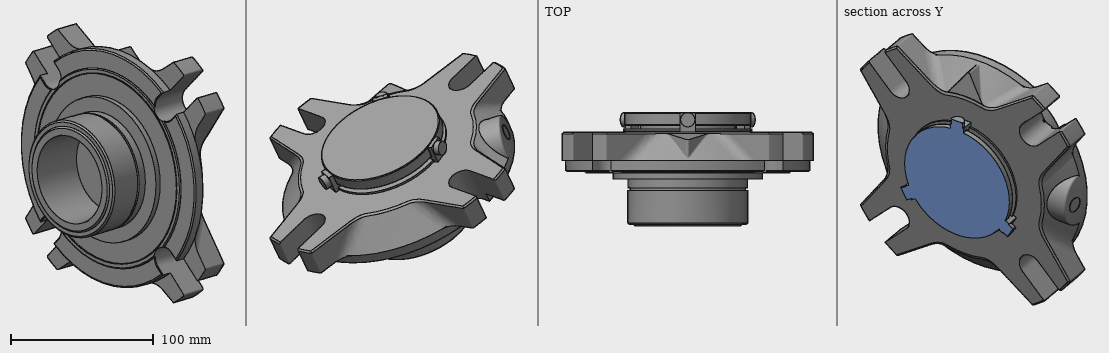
import cadquery as cq
import math

TOTAL_LENGTH = 79.58
TOLERANCE = 0.01

SLEEVE_RADIUS = 84.37 / 2
SLEEVE_REAR_RADIUS = 84.04 / 2
NOSE_RADIUS = 76.1 / 2
NOSE_CHAMFER = 1.2
SLEEVE_CHAMFER = 1.2
GROOVE_RADIUS = 81.02 / 2
GROOVE_START = 25.2
GROOVE_END = 26.9
BORE_RADIUS = 63.5 / 2
BORE_DEPTH = 39.4

HUB_RADIUS = 104.78 / 2
HUB_FRONT = 33.0
FACE_FRONT = 37.3
FACE_RADIUS = 72.0
FACE_CHAMFER = 0.8
GAP_INNER_RADIUS = 136.39 / 2
GAP_OUTER_RADIUS = 137.16 / 2
GAP_DEPTH = 1.0

PILOT_FRONT = 38.3
PILOT_RADIUS = 85.75
PILOT_CHAMFER_RADIAL = 1.1
PILOT_CHAMFER_AXIAL = 0.9
FLANGE_FRONT = 46.0
FLANGE_REAR = 65.9
FLANGE_THICKNESS = FLANGE_REAR - FLANGE_FRONT
CONE_REAR_RADIUS = PILOT_RADIUS - FLANGE_THICKNESS

LUG_ANGLES = (45, 135, 225, 315)
LUG_TIP_RADIUS = 105.0
LUG_TIP_HALF_WIDTH = 22.17
LUG_FLARE = 10.0
LUG_ROOT_RADIUS = 50.0
LUG_CORNER_FILLET = 1.0
LUG_ROOT_FILLET = 8.5
LUG_REAR_CHAMFER = 1.2
SLOT_WIDTH = 18.6
SLOT_FLOOR_RADIUS = 69.2
SLOT_EDGE_CHAMFER = 0.6

BOSS_RADIUS = 20.8
BOSS_AXIAL = 43.0
BOSS_ROOT = 55.0
BOSS_TAPER = 7.5
BOSS_EDGE_FILLET = 1.2
PORT_DIAMETER = 11.0
PORT_AXIAL = 53.35
PORT_DEPTH = 0.5

RIDGE_CREST = 84.2
RIDGE_CREST_RADIUS = 3.31 / 2
RIDGE_HALF_ANGLE = 35.5
RIDGE_FOOT_FILLET = 1.2
RIDGE_BASE = 60.0
RIDGE_CREST_REAR = 60.6
RIDGE_REAR_FOOT_RADIUS = 66.0
RIDGE_REAR_FOOT = 65.1

SPACER_RADIUS = 89.92 / 2
SPACER_FRONT = 66.8
SPACER_REAR = 68.3
NECK_RADIUS = 66.58 / 2
COLLAR_RADIUS = 88.39 / 2
COLLAR_FRONT = 70.7
COLLAR_CHAMFER = 0.6
CLIP_ANGLES = (90, 210, 330)
CLIP_WIDTH = 11.2
CLIP_INNER = 43.9
CLIP_OUTER = 47.4
CLIP_TONGUE_INNER = 42.6
SCREW_HEAD_DIAMETER = 9.99
SCREW_HEAD_TOP = 51.8


def revolved(points):
    """Solid of revolution about Y from (radius, y) points."""
    return cq.Workplane("XY").polyline(points).close().revolve(360, (0, 0, 0), (0, 1, 0))


def disc(radius, start, end):
    """Solid disc on the Y axis between two axial positions."""
    return revolved([(0, start), (radius, start), (radius, end), (0, end)])


def turned(shape, angle):
    """Turn about the Y axis so that +X moves towards +Z for a positive angle."""
    return shape.rotate((0, 0, 0), (0, 1, 0), -angle)


def extruded_along_y(sketch, start, end):
    """Extrude a sketch function drawn in the XZ plane between two axial positions."""
    plane = cq.Plane(origin=(0, end, 0), xDir=(1, 0, 0), normal=(0, -1, 0))
    return sketch(cq.Workplane(plane)).extrude(end - start)


def make_lug():
    """Flared lug pointing along +X, before slotting."""
    flare = math.tan(math.radians(LUG_FLARE))
    tip = math.sqrt(LUG_TIP_RADIUS**2 - LUG_TIP_HALF_WIDTH**2)
    root_half_width = LUG_TIP_HALF_WIDTH + (tip - LUG_ROOT_RADIUS) * flare

    def outline(plane):
        return (
            plane.moveTo(LUG_ROOT_RADIUS, -root_half_width)
            .lineTo(tip, -LUG_TIP_HALF_WIDTH)
            .threePointArc((LUG_TIP_RADIUS, 0), (tip, LUG_TIP_HALF_WIDTH))
            .lineTo(LUG_ROOT_RADIUS, root_half_width)
            .close()
        )

    return extruded_along_y(outline, FLANGE_FRONT, FLANGE_REAR)


def cut_slots(shape):
    """Cut the round-ended, outward-open bolt slots through the whole axial length of the gland."""
    length = 2 * (LUG_TIP_RADIUS - SLOT_FLOOR_RADIUS)

    def outline(plane):
        return plane.center(SLOT_FLOOR_RADIUS + length / 2, 0).slot2D(length, SLOT_WIDTH)

    slot = extruded_along_y(outline, FACE_FRONT, FLANGE_REAR)
    for angle in LUG_ANGLES:
        shape = shape.cut(turned(slot, angle))
    return shape


def make_flange():
    """Cone with filleted, slotted lugs."""
    flange = revolved([
        (0, FLANGE_FRONT),
        (PILOT_RADIUS, FLANGE_FRONT),
        (CONE_REAR_RADIUS, FLANGE_REAR),
        (0, FLANGE_REAR),
    ])
    for angle in LUG_ANGLES:
        flange = flange.union(turned(make_lug(), angle))

    def is_root(edge):
        box = edge.BoundingBox()
        spans = box.ymax - box.ymin > FLANGE_THICKNESS - TOLERANCE
        centre = edge.positionAt(0.5)
        return spans and math.hypot(centre.x, centre.z) < PILOT_RADIUS

    roots = [e for e in flange.edges().vals() if is_root(e)]
    flange = flange.newObject(roots).fillet(LUG_ROOT_FILLET)
    flange = cut_slots(flange.faces(">Y").edges().chamfer(LUG_REAR_CHAMFER))

    def is_tip_corner(edge):
        centre = edge.Center()
        return math.hypot(centre.x, centre.z) > LUG_TIP_RADIUS - LUG_CORNER_FILLET

    corners = [e for e in flange.edges("|Y").vals() if is_tip_corner(e)]
    return flange.newObject(corners).fillet(LUG_CORNER_FILLET)


def make_front():
    """Sleeve, hub disc and pilot rim."""
    front = revolved([
        (0, 0),
        (NOSE_RADIUS - NOSE_CHAMFER, 0),
        (NOSE_RADIUS, NOSE_CHAMFER),
        (SLEEVE_RADIUS - SLEEVE_CHAMFER, NOSE_CHAMFER),
        (SLEEVE_RADIUS, NOSE_CHAMFER + SLEEVE_CHAMFER),
        (SLEEVE_RADIUS, GROOVE_START),
        (GROOVE_RADIUS, GROOVE_START),
        (GROOVE_RADIUS, GROOVE_END),
        (SLEEVE_REAR_RADIUS, GROOVE_END),
        (SLEEVE_REAR_RADIUS, HUB_FRONT),
        (HUB_RADIUS, HUB_FRONT),
        (HUB_RADIUS, FACE_FRONT),
        (GAP_INNER_RADIUS, FACE_FRONT),
        (GAP_INNER_RADIUS, FACE_FRONT + GAP_DEPTH),
        (GAP_OUTER_RADIUS, FACE_FRONT + GAP_DEPTH),
        (GAP_OUTER_RADIUS, FACE_FRONT),
        (FACE_RADIUS - FACE_CHAMFER, FACE_FRONT),
        (FACE_RADIUS, FACE_FRONT + FACE_CHAMFER),
        (FACE_RADIUS, PILOT_FRONT),
        (PILOT_RADIUS - PILOT_CHAMFER_RADIAL, PILOT_FRONT),
        (PILOT_RADIUS, PILOT_FRONT + PILOT_CHAMFER_AXIAL),
        (PILOT_RADIUS, FLANGE_FRONT),
        (0, FLANGE_FRONT),
    ])
    front = cut_slots(front)

    def is_slot_edge(edge):
        end_radii = [math.hypot(v.X, v.Z) for v in edge.Vertices()]
        on_rim_face = all(abs(v.Y - PILOT_FRONT) < TOLERANCE for v in edge.Vertices())
        return on_rim_face and max(end_radii) - min(end_radii) > TOLERANCE

    edges = [e for e in front.edges().vals() if is_slot_edge(e)]
    return front.newObject(edges).chamfer(SLOT_EDGE_CHAMFER)


def boss_face_radius(axial):
    """Distance of the tapered boss face from the axis at an axial position."""
    return PILOT_RADIUS - (axial - FLANGE_FRONT) * math.tan(math.radians(BOSS_TAPER))


def make_boss():
    """Port boss on the -X side with a tapered face and a shallow round recess."""
    plane = cq.Plane(origin=(-BOSS_ROOT, BOSS_AXIAL, 0), xDir=(0, 1, 0), normal=(-1, 0, 0))
    boss = cq.Workplane(plane).circle(BOSS_RADIUS).extrude(PILOT_RADIUS)
    boss = boss.intersect(revolved([
        (0, FLANGE_FRONT),
        (PILOT_RADIUS, FLANGE_FRONT),
        (boss_face_radius(FLANGE_REAR), FLANGE_REAR),
        (0, FLANGE_REAR),
    ]))

    def is_rim(edge):
        middle = edge.positionAt(0.5)
        off_root = middle.x < -BOSS_ROOT - TOLERANCE
        off_front = middle.y > FLANGE_FRONT + TOLERANCE
        return edge.geomType() != "LINE" and off_root and off_front

    boss = boss.newObject([e for e in boss.edges().vals() if is_rim(e)]).fillet(BOSS_EDGE_FILLET)
    tilt = math.radians(BOSS_TAPER)
    recess_plane = cq.Plane(
        origin=(-boss_face_radius(PORT_AXIAL), PORT_AXIAL, 0),
        xDir=(math.sin(tilt), math.cos(tilt), 0),
        normal=(-math.cos(tilt), math.sin(tilt), 0),
    )
    recess = cq.Workplane(recess_plane).workplane(offset=-PORT_DEPTH).circle(PORT_DIAMETER / 2)
    return boss.cut(recess.extrude(2 * PORT_DEPTH))


def make_ridge():
    """Roof with a rounded crest on the +Z side, its rear end sloping forwards to the crest."""
    half = math.radians(RIDGE_HALF_ANGLE)
    apex = RIDGE_CREST + RIDGE_CREST_RADIUS * (1 / math.sin(half) - 1)
    base_half_width = (apex - RIDGE_BASE) * math.tan(half)

    def roof(plane):
        corners = [(-base_half_width, RIDGE_BASE), (base_half_width, RIDGE_BASE), (0, apex)]
        return plane.polyline(corners).close()

    ridge = extruded_along_y(roof, FLANGE_FRONT, FLANGE_REAR)
    ridge = ridge.edges("|Y and >Z").fillet(RIDGE_CREST_RADIUS)
    slope = (RIDGE_REAR_FOOT - RIDGE_CREST_REAR) / (RIDGE_CREST - RIDGE_REAR_FOOT_RADIUS)
    envelope = revolved([
        (0, FLANGE_FRONT),
        (PILOT_RADIUS, FLANGE_FRONT),
        (PILOT_RADIUS, RIDGE_CREST_REAR - slope * (PILOT_RADIUS - RIDGE_CREST)),
        (RIDGE_REAR_FOOT_RADIUS, RIDGE_REAR_FOOT),
        (0, RIDGE_REAR_FOOT),
    ])
    return ridge.intersect(envelope)


def add_ridge(body):
    """Join the ridge to the body and blend its two flanks into the cone."""
    body = body.union(make_ridge())
    foot_half_width = (RIDGE_CREST - RIDGE_BASE) * math.tan(math.radians(RIDGE_HALF_ANGLE))

    def is_foot(edge):
        middle = edge.positionAt(0.5)
        cone_radius = PILOT_RADIUS - (middle.y - FLANGE_FRONT)
        on_cone = abs(math.hypot(middle.x, middle.z) - cone_radius) < TOLERANCE
        beside_crest = RIDGE_CREST_RADIUS / 2 < abs(middle.x) < foot_half_width
        between_ends = FLANGE_FRONT + TOLERANCE < middle.y < RIDGE_REAR_FOOT - TOLERANCE
        return on_cone and beside_crest and between_ends and middle.z > 0

    return body.newObject([e for e in body.edges().vals() if is_foot(e)]).fillet(RIDGE_FOOT_FILLET)


def make_collar():
    """Spacer disc, neck and drive collar behind the flange."""
    collar = disc(SLEEVE_REAR_RADIUS, FLANGE_REAR, SPACER_FRONT)
    collar = collar.union(disc(SPACER_RADIUS, SPACER_FRONT, SPACER_REAR))
    collar = collar.union(disc(NECK_RADIUS, SPACER_REAR, COLLAR_FRONT))
    drive = disc(COLLAR_RADIUS, COLLAR_FRONT, TOTAL_LENGTH).faces("<Y or >Y").edges().chamfer(COLLAR_CHAMFER)
    return collar.union(drive)


def clip_block(inner, outer, start, end):
    """Block of clip width on +X between two radii and two axial positions."""
    block = cq.Workplane("XY").box(outer - inner, end - start, CLIP_WIDTH)
    return block.translate(((inner + outer) / 2, (start + end) / 2, 0))


def make_clip():
    """Setting clip along +X: a plate, a tongue between spacer and collar, and a screw head."""
    plate = clip_block(CLIP_INNER, CLIP_OUTER, FLANGE_REAR, TOTAL_LENGTH)
    tongue = clip_block(CLIP_TONGUE_INNER, CLIP_OUTER, SPACER_REAR, COLLAR_FRONT)
    screw_axis = TOTAL_LENGTH - SCREW_HEAD_DIAMETER / 2
    plane = cq.Plane(origin=(CLIP_INNER, screw_axis, 0), xDir=(0, 1, 0), normal=(1, 0, 0))
    head = cq.Workplane(plane).circle(SCREW_HEAD_DIAMETER / 2).extrude(SCREW_HEAD_TOP - CLIP_INNER)
    return plate.union(tongue).union(head)


result = make_flange()
result = result.union(make_front())
result = result.union(make_boss())
result = add_ridge(result)
result = result.union(make_collar())
for clip_angle in CLIP_ANGLES:
    result = result.union(turned(make_clip(), clip_angle))
result = result.cut(disc(BORE_RADIUS, 0, BORE_DEPTH))